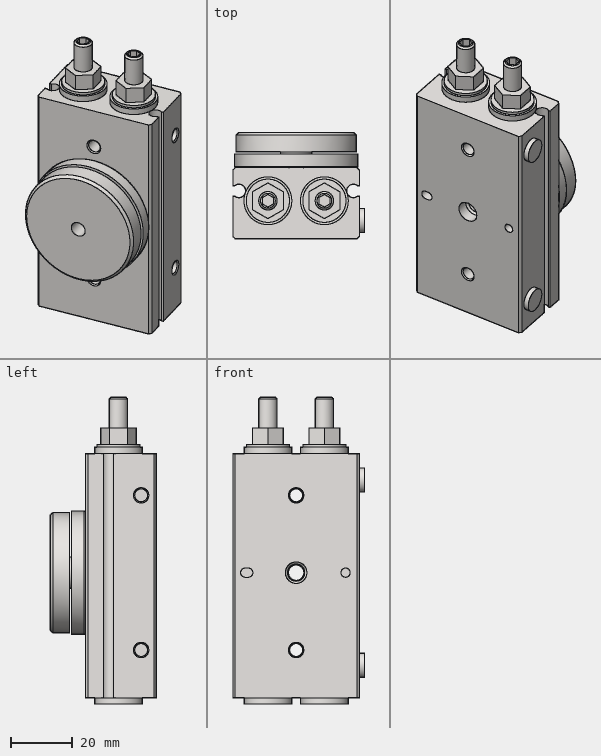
import cadquery as cq
import math


body_width = 41.0
body_depth = 23.0
body_height = 79.0
body_bottom = -40.5
edge_chamfer = 0.8
half_width = body_width / 2
body_top = body_bottom + body_height

slot_diameter = 4.3
slot_mouth = 3.3
slot_inset = 2.0
slot_y = 15.5

bore_offset = 9.1
bore_y = 12.3
cap_diameter = 15.5
cap_height = 2.1
plug_height = 2.0
cap_rim_diameter = 14.0
cap_rim_height = 0.9
nut_flats = 10.0
nut_height = 5.4
screw_diameter = 6.0
screw_height = 9.9
screw_chamfer = 0.6
socket_flats = 3.6
socket_depth = 3.0

mount_spacing = 50.0
tapped_diameter = 4.2
tapped_mouth = 5.0
side_hole_y = 5.0
side_hole_depth = 7.9
entry_bore_diameter = 7.0
entry_bore_depth = 3.9
passage_diameter = 5.6
table_hole_diameter = 5.0
pin_offset = 16.0
pin_diameter = 3.0
pin_slot_length = 4.0
pin_depth = 4.0

port_diameter = 7.8
port_length = 1.7
port_spacing = 60.0
port_y = 6.0

flange_diameter = 40.0
flange_thickness = 4.5
flange_chamfer_width = 0.2
flange_chamfer_height = 0.4
table_gap = 0.6
table_thickness = 6.4
table_diameter = 39.0
table_chamfer = 0.9
neck_diameter = 10.2
flange_face_y = body_depth + flange_thickness


def y_cylinder(diameter, y_start, length, x=0, z=0):
    """Cylinder along +Y."""
    return (
        cq.Workplane("XZ", origin=(x, y_start, z))
        .circle(diameter / 2)
        .extrude(-length)
    )


def x_cylinder(diameter, x_start, length, y, z):
    """Cylinder along +X."""
    return cq.Workplane("YZ", origin=(x_start, y, z)).circle(diameter / 2).extrude(length)


def z_cylinder(diameter, z_start, height, x):
    """Cylinder along +Z on a bore axis."""
    return cq.Workplane("XY", origin=(x, bore_y, z_start)).circle(diameter / 2).extrude(height)


def z_hexagon(flats, z_start, height, x):
    """Hexagonal prism along +Z on a bore axis, with two flats facing along X."""
    corners = flats / math.cos(math.radians(30))
    return (
        cq.Workplane("XY", origin=(x, bore_y, z_start))
        .transformed(rotate=(0, 0, 90))
        .polygon(6, corners)
        .extrude(height)
    )


def make_block():
    """Rectangular block with chamfered long edges."""
    return (
        cq.Workplane("XY", origin=(0, body_depth / 2, body_bottom))
        .rect(body_width, body_depth)
        .extrude(body_height)
        .edges("|Z")
        .chamfer(edge_chamfer)
    )


def make_sensor_slot(side):
    """Round-bottomed sensor slot with a narrower mouth, running the full height."""
    base = cq.Workplane("XY", origin=(side * (half_width - slot_inset), slot_y, body_bottom))
    groove = base.circle(slot_diameter / 2).extrude(body_height)
    mouth = base.center(side * slot_inset / 2, 0).rect(slot_inset, slot_mouth).extrude(body_height)
    return groove.union(mouth)


def make_stop_screw(x):
    """Cap, lock nut and socket-ended screw stacked on top of the block."""
    rim_z = body_top + cap_height
    nut_z = rim_z + cap_rim_height
    screw_z = nut_z + nut_height
    screw_top = screw_z + screw_height
    cap = z_cylinder(cap_diameter, body_top, cap_height, x)
    rim = z_cylinder(cap_rim_diameter, rim_z, cap_rim_height, x)
    nut = z_hexagon(nut_flats, nut_z, nut_height, x)
    screw = z_cylinder(screw_diameter, screw_z, screw_height, x).faces(">Z").chamfer(screw_chamfer)
    socket = z_hexagon(socket_flats, screw_top - socket_depth, socket_depth, x)
    return cap.union(rim).union(nut).union(screw.cut(socket))


def make_cone(start_diameter, end_diameter, start, direction):
    """45-degree cone that narrows from its start point along a direction."""
    length = (start_diameter - end_diameter) / 2
    return cq.Workplane(
        cq.Solid.makeCone(
            start_diameter / 2, end_diameter / 2, length, cq.Vector(*start), cq.Vector(*direction)
        )
    )


def make_mount_hole(z):
    """Tapped hole through the block, countersunk at both faces."""
    hole = y_cylinder(tapped_diameter, 0, body_depth, z=z)
    front_mouth = make_cone(tapped_mouth, tapped_diameter, (0, 0, z), (0, 1, 0))
    back_mouth = make_cone(tapped_mouth, tapped_diameter, (0, body_depth, z), (0, -1, 0))
    return hole.union(front_mouth).union(back_mouth)


def make_side_hole(z):
    """Blind tapped hole in the -X side, countersunk at its mouth."""
    hole = x_cylinder(tapped_diameter, -half_width, side_hole_depth, side_hole_y, z)
    mouth = make_cone(tapped_mouth, tapped_diameter, (-half_width, side_hole_y, z), (1, 0, 0))
    return hole.union(mouth)


def make_centre_hole():
    """Passage along the table axis, entered through a wider bore with a conical floor."""
    passage = y_cylinder(passage_diameter, 0, flange_face_y)
    entry_bore = y_cylinder(entry_bore_diameter, 0, entry_bore_depth)
    floor = make_cone(entry_bore_diameter, passage_diameter, (0, entry_bore_depth, 0), (0, 1, 0))
    return passage.union(entry_bore).union(floor)


def make_flange():
    """Round flange on the back face, chamfered where it meets the block."""
    flange = y_cylinder(flange_diameter, body_depth, flange_thickness)
    return flange.faces("<Y").chamfer(flange_chamfer_height, flange_chamfer_width)


def make_pin_recesses():
    """Round locating hole on the right and locating slot on the left of the front face."""
    round_hole = y_cylinder(pin_diameter, 0, pin_depth, x=pin_offset)
    slot = (
        cq.Workplane("XZ", origin=(-pin_offset, 0, 0))
        .slot2D(pin_slot_length, pin_diameter)
        .extrude(-pin_depth)
    )
    return round_hole.union(slot)


def make_housing():
    """Block with its flange, ports, plugs and stop screws."""
    housing = make_block()
    for side in (-1, 1):
        housing = housing.cut(make_sensor_slot(side))
    housing = housing.union(make_flange())
    for side in (-1, 1):
        x = side * bore_offset
        housing = housing.union(make_stop_screw(x))
        housing = housing.union(z_cylinder(cap_diameter, body_bottom - plug_height, plug_height, x))
        port = x_cylinder(port_diameter, half_width, port_length, port_y, side * port_spacing / 2)
        housing = housing.union(port)
        housing = housing.cut(make_mount_hole(side * mount_spacing / 2))
        housing = housing.cut(make_side_hole(side * mount_spacing / 2))
    return housing.cut(make_centre_hole()).cut(make_pin_recesses())


def make_table():
    """Round table on a short neck that rests on the flange, with a hole along its axis."""
    neck = y_cylinder(neck_diameter, flange_face_y, table_gap)
    disc = y_cylinder(table_diameter, flange_face_y + table_gap, table_thickness)
    disc = disc.faces(">Y").edges().chamfer(table_chamfer)
    hole = y_cylinder(table_hole_diameter, flange_face_y, table_gap + table_thickness)
    return neck.union(disc).cut(hole)


housing = make_housing()
table = make_table()
result = cq.Compound.makeCompound([housing.solids().val(), table.solids().val()])